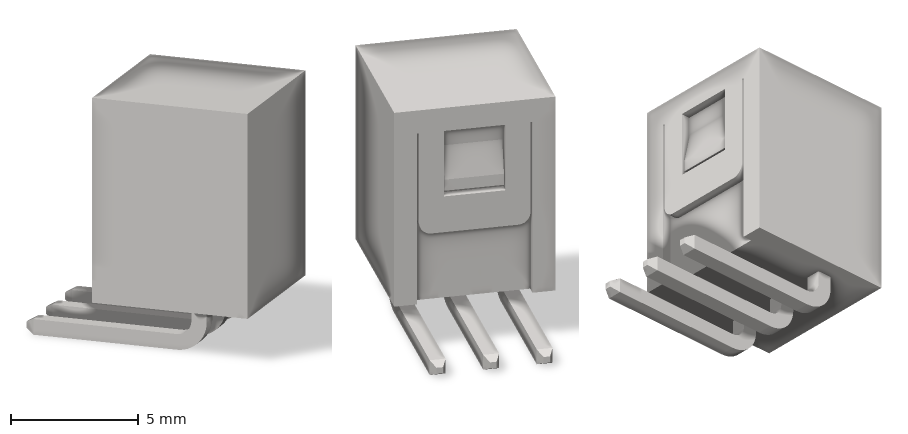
import cadquery as cq
import math

TOTAL_LENGTH = 9.6
TOTAL_HEIGHT = 10.17

BODY_SIDE = 6.5
BODY_HEIGHT = 8.37
HALF_SIDE = BODY_SIDE / 2

CAP_THICKNESS = 0.86
HOUSING_HEIGHT = BODY_HEIGHT - CAP_THICKNESS
BAND_HEIGHT = 0.13
BAND_BASE_Z = HOUSING_HEIGHT - BAND_HEIGHT
TONGUE_WIDTH = 4.48
TONGUE_BOTTOM_Z = 3.0
TONGUE_CORNER_RADIUS = 0.5
WINDOW_WIDTH = 2.49
WINDOW_TOP_Z = BAND_BASE_Z
WINDOW_HEIGHT = 2.83

RECESS_WIDTH = 4.65
RECESS_DEPTH = 0.4
RECESS_FLOOR_X = -HALF_SIDE + RECESS_DEPTH

LATCH_WIDTH = 2.4
LATCH_PROTRUSION = 0.3
LATCH_TOP_Z = 6.57
LATCH_RAMP_END_Z = 5.22
LATCH_BOTTOM_Z = 4.74

PIN_COUNT = 3
PIN_PITCH = 2.16
PIN_THICKNESS = 0.64
PIN_DROP = TOTAL_HEIGHT - BODY_HEIGHT
PIN_INNER_RADIUS = 0.6
PIN_OUTER_RADIUS = PIN_INNER_RADIUS + PIN_THICKNESS
PIN_LEG_OUTER_X = 1.25
PIN_TIP_X = HALF_SIDE - TOTAL_LENGTH
PIN_TIP_LENGTH = 0.36
PIN_TIP_THICKNESS = 0.26


def block(x_min, x_max, width, z_min, z_max):
    """Box centred on Y = 0 between the given X and Z limits."""
    length = x_max - x_min
    height = z_max - z_min
    return cq.Workplane("XY").box(length, width, height).translate(
        ((x_min + x_max) / 2, 0, (z_min + z_max) / 2)
    )


def make_latch():
    """Wedge with a ramp at the top, a flat front and a square lower edge."""
    front_x = RECESS_FLOOR_X - LATCH_PROTRUSION
    return (
        cq.Workplane("XZ")
        .moveTo(RECESS_FLOOR_X, LATCH_TOP_Z)
        .lineTo(front_x, LATCH_RAMP_END_Z)
        .lineTo(front_x, LATCH_BOTTOM_Z)
        .lineTo(RECESS_FLOOR_X, LATCH_BOTTOM_Z)
        .close()
        .extrude(LATCH_WIDTH / 2, both=True)
    )


def make_housing():
    """Block with a full-height recess between two posts, and the latch inside it."""
    recess = block(-HALF_SIDE, RECESS_FLOOR_X, RECESS_WIDTH, 0, HOUSING_HEIGHT)
    lower = block(-HALF_SIDE, HALF_SIDE, BODY_SIDE, 0, BAND_BASE_Z).cut(recess).union(make_latch())
    band = block(-HALF_SIDE, HALF_SIDE, BODY_SIDE, BAND_BASE_Z, HOUSING_HEIGHT).cut(recess)
    return lower.union(band, clean=False)


def make_cap():
    """Plate over the housing, with a windowed tongue hanging down into the recess."""
    plate = block(-HALF_SIDE, HALF_SIDE, BODY_SIDE, HOUSING_HEIGHT, BODY_HEIGHT)
    root = block(-HALF_SIDE, RECESS_FLOOR_X, RECESS_WIDTH, BAND_BASE_Z, HOUSING_HEIGHT)
    tongue = (
        block(-HALF_SIDE, RECESS_FLOOR_X, TONGUE_WIDTH, TONGUE_BOTTOM_Z, HOUSING_HEIGHT)
        .edges("|X and <Z")
        .fillet(TONGUE_CORNER_RADIUS)
    )
    window = block(
        -HALF_SIDE, RECESS_FLOOR_X, WINDOW_WIDTH, WINDOW_TOP_Z - WINDOW_HEIGHT, WINDOW_TOP_Z
    )
    return plate.union(root).union(tongue).cut(window)


def make_pin(y_centre):
    """Square pin: leg down from the housing underside, bend, run toward -X, tapered tip."""
    leg_inner_x = PIN_LEG_OUTER_X - PIN_THICKNESS
    bottom_z = -PIN_DROP
    top_z = bottom_z + PIN_THICKNESS
    bend_x = PIN_LEG_OUTER_X - PIN_OUTER_RADIUS
    bend_z = bottom_z + PIN_OUTER_RADIUS
    shank_end_x = PIN_TIP_X + PIN_TIP_LENGTH
    inner_mid = PIN_INNER_RADIUS * math.sqrt(0.5)
    outer_mid = PIN_OUTER_RADIUS * math.sqrt(0.5)

    shank = (
        cq.Workplane("XZ")
        .moveTo(leg_inner_x, 0)
        .lineTo(leg_inner_x, bend_z)
        .threePointArc((bend_x + inner_mid, bend_z - inner_mid), (bend_x, top_z))
        .lineTo(shank_end_x, top_z)
        .lineTo(shank_end_x, bottom_z)
        .lineTo(bend_x, bottom_z)
        .threePointArc((bend_x + outer_mid, bend_z - outer_mid), (PIN_LEG_OUTER_X, bend_z))
        .lineTo(PIN_LEG_OUTER_X, 0)
        .close()
        .extrude(PIN_THICKNESS / 2, both=True)
    )
    tip = (
        cq.Workplane("YZ", origin=(shank_end_x, 0, bottom_z + PIN_THICKNESS / 2))
        .rect(PIN_THICKNESS, PIN_THICKNESS)
        .workplane(offset=-PIN_TIP_LENGTH)
        .rect(PIN_TIP_THICKNESS, PIN_TIP_THICKNESS)
        .loft()
    )
    return shank.union(tip).translate((0, y_centre, 0))


housing = make_housing()
cap = make_cap()
pins = [make_pin((i - (PIN_COUNT - 1) / 2) * PIN_PITCH) for i in range(PIN_COUNT)]

result = cq.Compound.makeCompound([housing.val(), cap.val(), *[pin.val() for pin in pins]])